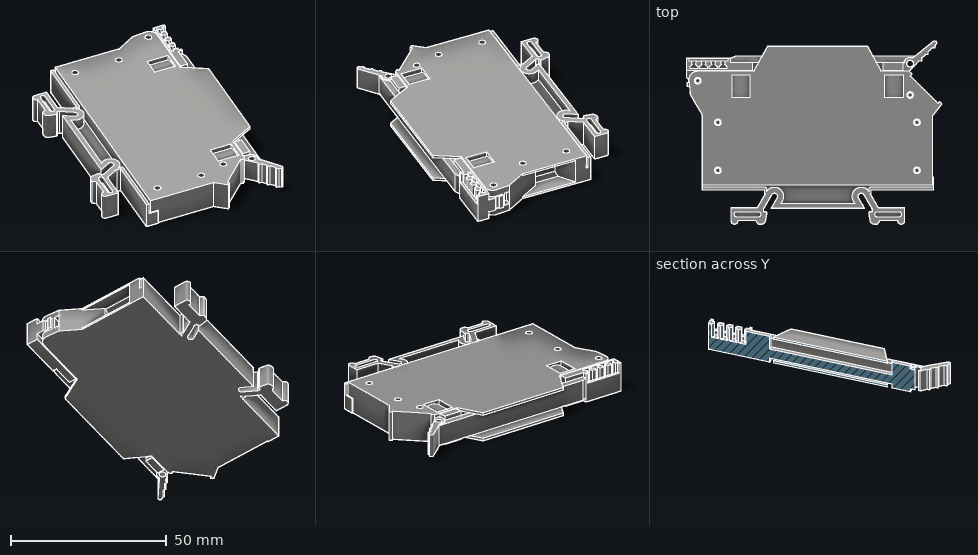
import cadquery as cq
import math


THICKNESS = 10.0
SEAM_Z = 5.2
RAIL_TOP = 9.1
WING_LOW = 1.0
WING_HIGH = 9.1
TAB_LOW, TAB_HIGH = 2.6, 7.5
LEVER_LOW, LEVER_HIGH = 1.15, 8.85
BAR_LOW, BAR_HIGH = 1.5, 8.5

BODY_LEFT, BODY_RIGHT = 5.0, 79.0
BODY_BOTTOM, BODY_TOP = 12.55, 49.1
CORNER_RADIUS = 2.6
FLANK_TOP_X, FLANK_TOP_Y = 1.2, 41.6
FLANK_LOW_Y = 35.2
CORNER_X = 0.8
SHOULDER_X = 71.5

WING_TOP = 57.15
WING_BASE = (21.6, 62.5)
WING_CREST = (26.0, 58.1)

STRIP_TOP = 53.3
SEAT_Y = 51.9
STRIP_STEP_X = 14.1
STRIP_RIGHT = 21.15
BLOCK_LEFT, BLOCK_RIGHT = 63.05, 69.5
GROOVE_TOP = 49.4
BAR_TOP = 54.0
BAR_RIGHT = 73.7

MIRROR_X = 42.15
LIP_BOTTOM, LIP_TOP = 11.0, 12.0
LIP_END = 25.75
LIP_WALL = 0.7
BASE_RIGHT = 79.3
BASE_STEP_TOP = 15.25
PIVOT_X, PIVOT_Y = 28.2, 8.9
ARM_RADIUS = 2.95
SLIT_RADIUS = 1.0
ARM_ANGLE = math.radians(60)
BRIDGE_BOTTOM, BRIDGE_TOP = 5.1, 6.65
FOOT_LEFT, FOOT_TOP = 14.3, 5.3


def prism(points, low, high):
    """Upright prism over a closed polygon between two levels."""
    return cq.Workplane("XY").workplane(offset=low).polyline(points).close().extrude(high - low)


def block(left, right, bottom, top, low, high):
    """Axis-aligned box given by its limits."""
    size = (right - left, top - bottom, high - low)
    return cq.Workplane("XY").box(*size, centered=False).translate((left, bottom, low))


def disc(x, y, radius, low, high):
    """Upright cylinder between two levels."""
    return cq.Workplane("XY").workplane(offset=low).center(x, y).circle(radius).extrude(high - low)


def both_sides(shape):
    """The shape together with its mirror image across the housing centre."""
    return shape.union(shape.mirror("YZ", (MIRROR_X, 0, 0)))


def main_body():
    """Outline with a rounded upper left corner, a slanted left flank and a pointed right end."""
    corner_y = BODY_TOP - CORNER_RADIUS
    corner_mid = CORNER_RADIUS * (1 - math.sqrt(0.5))
    return (
        cq.Workplane("XY")
        .moveTo(BODY_LEFT, BODY_BOTTOM)
        .lineTo(BODY_RIGHT, BODY_BOTTOM)
        .lineTo(BODY_RIGHT, 34.8)
        .lineTo(82, 38.6)
        .lineTo(81.3, 39.45)
        .lineTo(80.7, 38.9)
        .lineTo(71.8, 47.65)
        .lineTo(72.4, 48.2)
        .lineTo(SHOULDER_X, BODY_TOP)
        .lineTo(CORNER_X + CORNER_RADIUS, BODY_TOP)
        .threePointArc((CORNER_X + corner_mid, BODY_TOP - corner_mid), (CORNER_X, corner_y))
        .lineTo(FLANK_TOP_X, FLANK_TOP_Y)
        .lineTo(BODY_LEFT, FLANK_LOW_Y)
        .close()
        .extrude(THICKNESS)
    )


def wings():
    """Two thin plates that rise above the body on either side of the bar."""
    outline = [
        (WING_BASE[0], BODY_TOP),
        (WING_BASE[1], BODY_TOP),
        (WING_CREST[1], WING_TOP),
        (WING_CREST[0], WING_TOP),
    ]
    return prism(outline, 0, WING_LOW).union(prism(outline, WING_HIGH, THICKNESS))


def marking_strip():
    """Toothed strip on the left and plain block on the right, tied to the body by a middle web."""
    outline = [
        (0, GROOVE_TOP),
        (STRIP_RIGHT, GROOVE_TOP),
        (STRIP_RIGHT, SEAT_Y),
        (STRIP_STEP_X, SEAT_Y),
        (STRIP_STEP_X, STRIP_TOP),
        (0, STRIP_TOP),
    ]
    strip = prism(outline, 0, THICKNESS)
    strip = strip.union(block(BLOCK_LEFT, BLOCK_RIGHT, GROOVE_TOP, SEAT_Y, 0, THICKNESS))
    for left, right in ((CORNER_X + CORNER_RADIUS, STRIP_RIGHT), (BLOCK_LEFT, BLOCK_RIGHT)):
        strip = strip.union(block(left, right, BODY_TOP, GROOVE_TOP, TAB_LOW, TAB_HIGH))
    return strip


def marker_slots():
    """Four necked slots that open into a common ledge."""
    count, pitch, first_x = 4, 3.1, 2.4
    floor_z, ledge_z = 5.0, 6.6
    base_half, neck_half, mouth_half = 1.3, 0.5, 0.8
    base_y, shoulder_y, neck_y, mouth_y = 50.0, 50.6, 51.3, 52.4
    ledge_left, ledge_right = 0.8, 13.4
    half_outline = [
        (base_half, base_y),
        (base_half, shoulder_y),
        (neck_half, neck_y),
        (mouth_half, mouth_y),
    ]
    cutter = block(ledge_left, ledge_right, mouth_y, STRIP_TOP, ledge_z, THICKNESS)
    for i in range(count):
        x = first_x + i * pitch
        right_side = [(x + half, y) for half, y in half_outline]
        left_side = [(x - half, y) for half, y in reversed(half_outline)]
        cutter = cutter.union(prism(right_side + left_side, floor_z, THICKNESS))
    return cutter


def latch_tab():
    """Tab at the left end with a small rib, between the two cover layers."""
    root_x = 3.7
    outline = [
        (0, GROOVE_TOP),
        (0, 47.1),
        (0.6, 46.6),
        (0.6, 45.5),
        (0.25, 45.5),
        (0.25, 44.2),
        (root_x, 44.2),
        (root_x, GROOVE_TOP),
    ]
    return prism(outline, TAB_LOW, TAB_HIGH)


def latch_recess():
    """Pocket in the left end, just below the latch tab."""
    return block(0, 3.3, FLANK_TOP_Y, 43.3, TAB_LOW, TAB_HIGH)


def bar_and_lever():
    """Bar across the body top with a swing-up lever hinged at its right end."""
    bar_outline = [
        (STRIP_STEP_X, SEAT_Y),
        (BLOCK_RIGHT, SEAT_Y),
        (BAR_RIGHT, BAR_TOP),
        (15.9, BAR_TOP),
        (STRIP_STEP_X, STRIP_TOP),
    ]
    bar = prism(bar_outline, BAR_LOW, BAR_HIGH)
    bar = bar.union(block(STRIP_RIGHT, BLOCK_LEFT, BODY_TOP, SEAT_Y, BAR_LOW, SEAM_Z))

    hinge_x, hinge_y = 71.75, 51.6
    hinge_radius, hole_radius = 2.0, 1.1
    tip_x, tip_y, tip_radius = 79.6, 58.1, 0.7

    def on_circle(x, y, radius, degrees):
        angle = math.radians(degrees)
        return (x + radius * math.cos(angle), y + radius * math.sin(angle))

    def on_hinge(degrees):
        return on_circle(hinge_x, hinge_y, hinge_radius, degrees)

    def on_tip(degrees):
        return on_circle(tip_x, tip_y, tip_radius, degrees)

    grip_outline = [
        (BLOCK_RIGHT, SEAT_Y),
        (BLOCK_RIGHT, BODY_TOP),
        (SHOULDER_X, BODY_TOP),
        (74.6, 52.4),
        (75.5, 52.4),
        (75.5, 53.4),
        (76.8, 54.45),
        (77.6, 54.45),
        (77.6, 55.35),
        (78.9, 56.6),
        (79.8, 56.6),
        (79.9, 57.4),
        on_tip(0),
    ]
    lever = (
        cq.Workplane("XY")
        .workplane(offset=LEVER_LOW)
        .polyline(grip_outline)
        .threePointArc(on_tip(65), on_tip(130))
        .lineTo(*on_hinge(65))
        .threePointArc(on_hinge(115), on_hinge(170))
        .close()
        .extrude(LEVER_HIGH - LEVER_LOW)
    )
    return bar.union(lever).cut(disc(hinge_x, hinge_y, hole_radius, 0, THICKNESS))


def capsule(radius, high):
    """Round-ended stroke from the arm pivot down towards the left foot."""
    run = 9.8
    middle_x = PIVOT_X - run / 2 * math.cos(ARM_ANGLE)
    middle_y = PIVOT_Y - run / 2 * math.sin(ARM_ANGLE)
    return (
        cq.Workplane("XY")
        .center(middle_x, middle_y)
        .slot2D(run + 2 * radius, 2 * radius, math.degrees(ARM_ANGLE))
        .extrude(high)
    )


def left_foot():
    """Foot with two rounded legs, an inner hook and a blind slot."""
    outer_leg_radius = 1.15
    arch_y = 1.15
    outer_leg_middle = FOOT_LEFT + outer_leg_radius
    inner_x = 24.8
    foot = (
        cq.Workplane("XY")
        .moveTo(inner_x, FOOT_TOP)
        .lineTo(FOOT_LEFT, FOOT_TOP)
        .lineTo(FOOT_LEFT, arch_y)
        .threePointArc((outer_leg_middle, 0), (outer_leg_middle + outer_leg_radius, arch_y))
        .lineTo(22.2, arch_y)
        .lineTo(23.05, 0)
        .lineTo(24.0, 0)
        .threePointArc((25.0, 0.4), (25.4, 1.2))
        .lineTo(25.8, 3.6)
        .lineTo(25.7, 4.0)
        .lineTo(inner_x, 4.1)
        .close()
        .extrude(RAIL_TOP)
    )
    slot_depth, slot_length, slot_width = 2.5, 8.6, 1.6
    slot = (
        cq.Workplane("XY")
        .workplane(offset=RAIL_TOP - slot_depth)
        .center(19.6, 3.2)
        .slot2D(slot_length, slot_width)
        .extrude(slot_depth)
    )
    return foot.cut(slot)


def left_lip():
    """Raised lip that bends round into the spring arm."""
    skirt_bottom = 9.75
    lip = block(BODY_LEFT, LIP_END, LIP_BOTTOM, LIP_TOP, 0, RAIL_TOP)
    lip = lip.union(block(LIP_END - LIP_WALL, LIP_END, skirt_bottom, LIP_TOP, 0, RAIL_TOP))
    return lip.edges("|Z and >X and >Y").fillet(LIP_WALL)


def rail_side():
    """Low base with raised lips, two spring arms and two feet."""
    base = block(BODY_LEFT, BASE_RIGHT, LIP_BOTTOM, BODY_BOTTOM, 0, SEAM_Z)
    base = base.union(block(BODY_RIGHT, BASE_RIGHT, BODY_BOTTOM, BASE_STEP_TOP, 0, SEAM_Z))
    base = base.union(block(BASE_RIGHT - 0.8, BASE_RIGHT, LIP_BOTTOM, LIP_TOP, 0, RAIL_TOP))

    def bridge(top, high):
        """Middle part between the two slits, its sides running along the slits."""
        def slit_x(y):
            return PIVOT_X - (PIVOT_Y - y) / math.tan(ARM_ANGLE)

        left_side = [(slit_x(y), y) for y in (BRIDGE_BOTTOM, min(top, PIVOT_Y))]
        if top > PIVOT_Y:
            left_side.append((PIVOT_X, top))
        right_side = [(2 * MIRROR_X - x, y) for x, y in reversed(left_side)]
        return prism(left_side + right_side, 0, high)

    base = base.union(bridge(BODY_BOTTOM, SEAM_Z)).union(bridge(BRIDGE_TOP, RAIL_TOP))
    clip = block(FOOT_LEFT, MIRROR_X, BRIDGE_BOTTOM, BODY_BOTTOM, 0, RAIL_TOP)
    arm = capsule(ARM_RADIUS, RAIL_TOP).intersect(clip)
    base = base.union(both_sides(arm)).union(both_sides(left_lip()))
    base = base.cut(both_sides(capsule(SLIT_RADIUS, RAIL_TOP)))
    return base.union(both_sides(left_foot()))


def wire_entry():
    """Funnel pocket in the left end, entered below the slanted flank."""
    low, high = 0.7, 9.3
    throat_low, throat_high = 2.3, 7.1
    bottom, throat_bottom, top = 16.4, 20.9, 28.8
    floor_end_x, roof_end_x, throat_x = 10.1, 9.1, 11.1
    flank_run = (BODY_LEFT - FLANK_TOP_X) / (FLANK_TOP_Y - FLANK_LOW_Y)
    flap_x = BODY_LEFT + (FLANK_LOW_Y - top) * flank_run
    plan = [
        (BODY_LEFT, bottom),
        (throat_x, throat_bottom),
        (throat_x, top),
        (flap_x, top),
        (BODY_LEFT, FLANK_LOW_Y),
    ]
    funnel = (
        cq.Workplane("XZ", origin=(0, FLANK_LOW_Y, 0))
        .moveTo(BODY_LEFT, low)
        .lineTo(floor_end_x, low)
        .lineTo(throat_x, throat_low)
        .lineTo(throat_x, throat_high)
        .lineTo(roof_end_x, high)
        .lineTo(BODY_LEFT, high)
        .close()
        .extrude(FLANK_LOW_Y - bottom)
    )
    return prism(plan, low, high).intersect(funnel)


def barrel_window(left, right):
    """Rectangular recess whose floor is a barrel, highest along its middle."""
    bottom, top = 40.7, 48.0
    crown_depth, edge_depth = 0.8, 1.8
    half_width = (right - left) / 2
    rise = edge_depth - crown_depth
    radius = (half_width ** 2 + rise ** 2) / (2 * rise)
    barrel = (
        cq.Workplane("XZ", origin=(left + half_width, top, THICKNESS - crown_depth - radius))
        .circle(radius)
        .extrude(top - bottom)
    )
    return block(left, right, bottom, top, THICKNESS - edge_depth, THICKNESS).cut(barrel)


def pin_holes():
    """Stepped blind holes for the assembly pins."""
    rim_radius, core_radius = 1.1, 0.7
    rim_depth, core_depth = 2.05, 2.9
    places = [(3.6, 46.1), (10.1, 32.7), (10.1, 17.3), (71.75, 41.5), (74.0, 32.7), (74.0, 17.3)]
    cutter = cq.Workplane("XY")
    for x, y in places:
        cutter = cutter.union(disc(x, y, rim_radius, THICKNESS - rim_depth, THICKNESS))
        cutter = cutter.union(disc(x, y, core_radius, THICKNESS - core_depth, THICKNESS))
    return cutter


result = (
    main_body()
    .union(wings())
    .union(marking_strip())
    .union(latch_tab())
    .union(bar_and_lever())
    .union(rail_side())
    .cut(marker_slots())
    .cut(latch_recess())
    .cut(wire_entry())
    .cut(barrel_window(14.6, 20.4))
    .cut(barrel_window(63.55, 69.7))
    .cut(pin_holes())
)